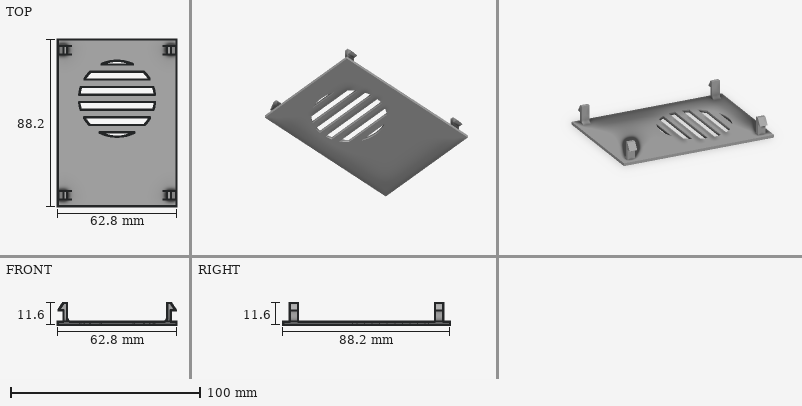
import cadquery as cq

plate_width = 62.8
plate_length = 88.2
plate_thickness = 1.6

grille_diameter = 40.0
grille_center_y = 12.7
bar_count = 5
bar_width = 4.0
bar_pitch = 2 * bar_width
bar_offset_y = 0.2

clip_height = 10.0
clip_width = 4.5
clip_thickness = 2.0
clip_side_inset = 3.0
clip_end_inset = 3.5
hook_height = 4.0
hook_overhang = 2.65
root_fillet_radius = 2.0


def make_plate():
    return cq.Workplane("XY").box(
        plate_width, plate_length, plate_thickness, centered=(True, True, False)
    )


def make_grille_opening():
    """Disc with the bars removed, leaving only the material to be cut away."""
    opening = (
        cq.Workplane("XY")
        .center(0, grille_center_y)
        .circle(grille_diameter / 2)
        .extrude(plate_thickness)
    )
    bars = (
        cq.Workplane("XY")
        .center(0, grille_center_y + bar_offset_y)
        .rarray(1, bar_pitch, 1, bar_count)
        .rect(grille_diameter, bar_width)
        .extrude(plate_thickness)
    )
    return opening.cut(bars)


def make_left_clip(center_y):
    """Clip on the -X side: post with an outward hook and a filleted inner root."""
    outer_x = -plate_width / 2 + clip_side_inset
    inner_x = outer_x + clip_thickness
    top_z = plate_thickness + clip_height
    hook_z = top_z - hook_height
    fillet_top_z = plate_thickness + root_fillet_radius

    return (
        cq.Workplane("XZ", origin=(0, center_y, 0))
        .moveTo(outer_x, 0)
        .lineTo(outer_x, hook_z)
        .lineTo(outer_x - hook_overhang, hook_z)
        .lineTo(outer_x, top_z)
        .lineTo(inner_x, top_z)
        .lineTo(inner_x, fillet_top_z)
        .radiusArc((inner_x + root_fillet_radius, plate_thickness), -root_fillet_radius)
        .lineTo(inner_x + root_fillet_radius, 0)
        .close()
        .extrude(clip_width / 2, both=True)
    )


result = make_plate().cut(make_grille_opening())

clip_center_y = plate_length / 2 - clip_end_inset - clip_width / 2
for center_y in (-clip_center_y, clip_center_y):
    left_clip = make_left_clip(center_y)
    right_clip = left_clip.mirror("YZ")
    result = result.union(left_clip).union(right_clip)